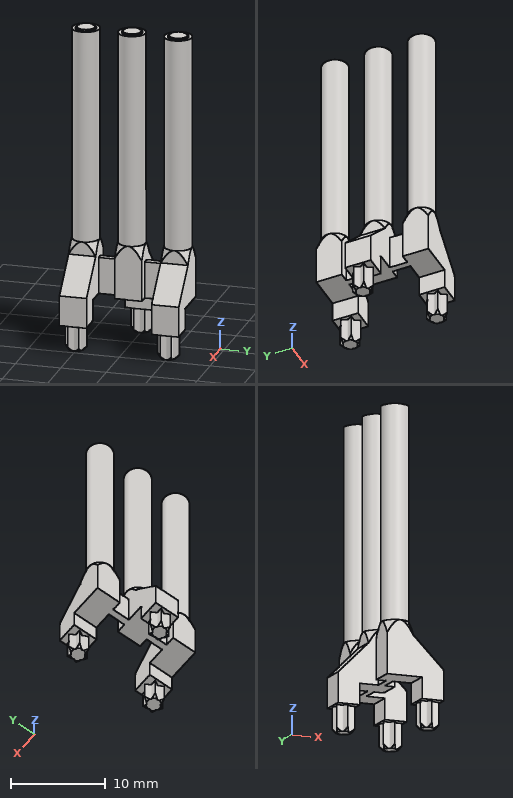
import cadquery as cq
import math

total_x = 10.0
total_y = 13.15
total_z = 34.9

guide_dia = 3.0
guide_radius = guide_dia / 2
guide_pitch = (total_y - guide_dia) / 2
lens_radius = 1.0
lens_base_radius = 1.1
lens_height = 0.15
shoulder_z = total_z - lens_height

arm_reach = total_x / 2
leg_width = 2.5
leg_bottom_z = 2.85
arm_underside_z = 5.2
arm_knee_z = 6.2
slope_top_z = arm_knee_z + arm_reach - guide_radius
taper_height = 1.5
block_top_z = slope_top_z + taper_height
corner_radius = guide_radius * math.sqrt(2)

pin_points = 6
pin_radius = 1.22
pin_notch_radius = pin_radius / math.sqrt(3)
notch_fillet = 0.17
pin_chamfer = 0.42
pin_offset = arm_reach - leg_width / 2

web_width = 0.77
web_top_z = 9.25


def vertical_cone(bottom_radius, top_radius, bottom_z, height):
    """Cone frustum standing on the Z axis."""
    return cq.Workplane(
        cq.Solid.makeCone(bottom_radius, top_radius, height, cq.Vector(0, 0, bottom_z))
    )


def make_block():
    """Square block whose top corners are cut by a cone narrowing to the guide."""
    block = (
        cq.Workplane("XY")
        .workplane(offset=arm_underside_z)
        .rect(guide_dia, guide_dia)
        .extrude(block_top_z - arm_underside_z)
    )
    sleeve = (
        cq.Workplane("XY")
        .workplane(offset=arm_underside_z)
        .circle(corner_radius)
        .extrude(slope_top_z - arm_underside_z)
    )
    taper = vertical_cone(corner_radius, guide_radius, slope_top_z, taper_height)
    return block.intersect(sleeve.union(taper))


def make_guide():
    """Round rod with a low, slightly tapered lens on its end."""
    rod = (
        cq.Workplane("XY")
        .workplane(offset=arm_underside_z)
        .circle(guide_radius)
        .extrude(shoulder_z - arm_underside_z)
    )
    return rod.union(vertical_cone(lens_base_radius, lens_radius, shoulder_z, lens_height))


def make_arm():
    """Arm toward +X with a sloped top and a leg at its outer end."""
    leg_inner_x = arm_reach - leg_width
    return (
        cq.Workplane("XZ")
        .moveTo(0, arm_underside_z)
        .lineTo(leg_inner_x, arm_underside_z)
        .lineTo(leg_inner_x, leg_bottom_z)
        .lineTo(arm_reach, leg_bottom_z)
        .lineTo(arm_reach, arm_knee_z)
        .lineTo(guide_radius, slope_top_z)
        .lineTo(0, slope_top_z)
        .close()
        .extrude(guide_radius, both=True)
    )


def make_pin():
    """Star pin with one point toward +Y, rounded notches and a chamfered lower end."""
    outline = []
    for i in range(2 * pin_points):
        radius = pin_radius if i % 2 == 0 else pin_notch_radius
        angle = math.pi / 2 + i * math.pi / pin_points
        outline.append((radius * math.cos(angle), radius * math.sin(angle)))
    star = cq.Workplane("XY").polyline(outline).close().extrude(leg_bottom_z)
    mid_radius = (pin_radius + pin_notch_radius) / 2
    edges = star.edges("|Z").vals()
    notches = [e for e in edges if math.hypot(e.Center().x, e.Center().y) < mid_radius]
    star = star.newObject(notches).fillet(notch_fillet)
    envelope = cq.Workplane("XY").circle(pin_radius).extrude(leg_bottom_z)
    envelope = envelope.faces("<Z").chamfer(pin_chamfer)
    return star.intersect(envelope).translate((pin_offset, 0, 0))


pipe = make_block().union(make_arm()).union(make_guide()).union(make_pin())

middle_pipe = pipe.rotate((0, 0, 0), (0, 0, 1), 180)
web = (
    cq.Workplane("XY")
    .workplane(offset=arm_underside_z)
    .rect(web_width, 2 * guide_pitch)
    .extrude(web_top_z - arm_underside_z)
)

result = middle_pipe.union(web)
for side in (-1, 1):
    result = result.union(pipe.translate((0, side * guide_pitch, 0)))